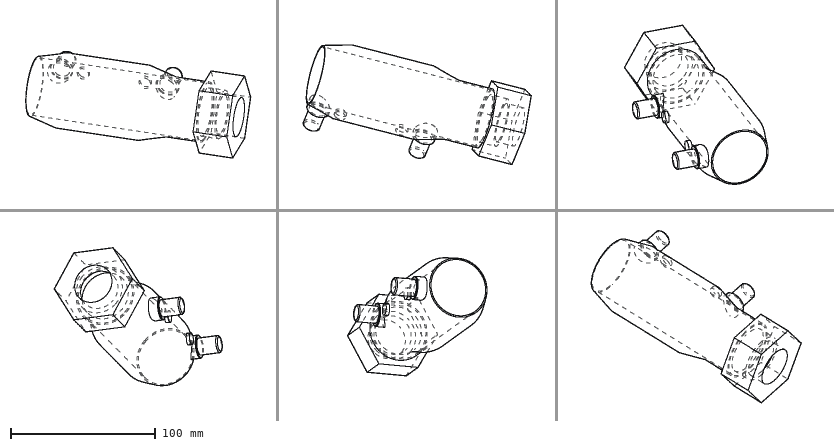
import cadquery as cq

length = 148.0
shoulder_length = 19.8
body_length = 59.3
neck_end = 123.6
body_start = shoulder_length
body_end = body_start + body_length
neck_start = body_end + shoulder_length

body_radius = 26.5
neck_radius = 21.2
nut_across_corners = 57.7
nut_length = length - neck_end

pipe_bore_radius = 20.1
nut_bore_radius = 17.0
outlet_radius = 13.8
outlet_length = nut_length / 2

stud_inset = 11.0
stud_positions = (stud_inset, neck_start - stud_inset)
stud_radius = 6.0
stud_top = 44.0
stud_chamfer = 0.9
collar_radius = 8.1
collar_top = 29.2
collar_chamfer = 0.5
pad_inset = 7.3
pad_positions = (body_start + pad_inset, body_end - pad_inset)
pad_radius = 4.1
pad_top = 28.9


def x_cylinder(radius, start, end):
    """Cylinder on the pipe axis between two X stations."""
    return cq.Workplane("YZ").workplane(offset=start).circle(radius).extrude(end - start)


def y_cylinder(radius, x, top):
    """Cylinder from the pipe axis out to Y = top."""
    return cq.Workplane("XZ", origin=(x, 0, 0)).circle(radius).extrude(-top)


def make_shell():
    """Turned body with conical shoulders at both ends."""
    return (
        cq.Workplane("XY")
        .moveTo(0, 0)
        .lineTo(0, neck_radius)
        .lineTo(body_start, body_radius)
        .lineTo(body_end, body_radius)
        .lineTo(neck_start, neck_radius)
        .lineTo(neck_end, neck_radius)
        .lineTo(neck_end, 0)
        .close()
        .revolve(360, (0, 0, 0), (1, 0, 0))
    )


def make_nut():
    """Hexagon with two corners on the Y axis."""
    return (
        cq.Workplane("YZ")
        .workplane(offset=neck_end)
        .polygon(6, nut_across_corners)
        .extrude(nut_length)
    )


def make_stud(x):
    """Chamfered pin standing on a wider collar."""
    pin = y_cylinder(stud_radius, x, stud_top).faces(">Y").chamfer(stud_chamfer)
    collar = y_cylinder(collar_radius, x, collar_top).faces(">Y").chamfer(collar_chamfer)
    return collar.union(pin)


result = make_shell().union(make_nut())
for stud_x in stud_positions:
    result = result.union(make_stud(stud_x))
for pad_x in pad_positions:
    result = result.union(y_cylinder(pad_radius, pad_x, pad_top))

result = result.cut(x_cylinder(pipe_bore_radius, 0, neck_end))
result = result.cut(x_cylinder(nut_bore_radius, neck_end, length - outlet_length))
result = result.cut(x_cylinder(outlet_radius, length - outlet_length, length))